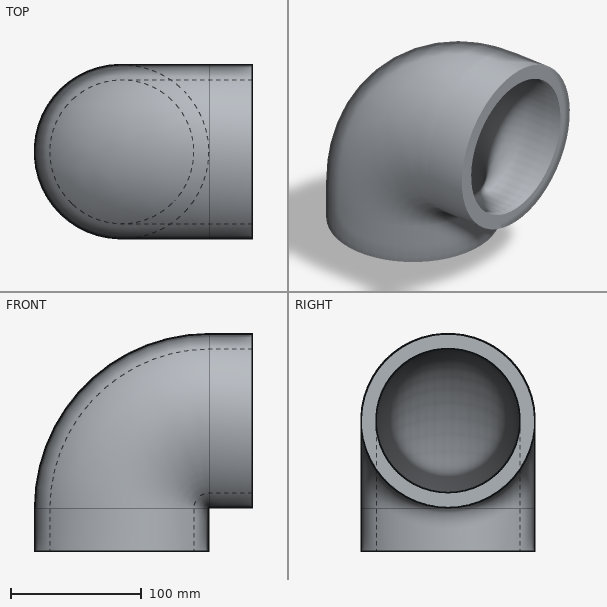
import cadquery as cq

overall_size = 166.5
outer_diameter = 133.0
bore_diameter = 110.0
collar_length = 33.0

bend_radius = overall_size - collar_length - outer_diameter / 2

centre_line = (
    cq.Workplane("XZ")
    .moveTo(0, -collar_length)
    .lineTo(0, 0)
    .radiusArc((bend_radius, bend_radius), bend_radius)
    .lineTo(bend_radius + collar_length, bend_radius)
)

result = (
    cq.Workplane("XY", origin=(0, 0, -collar_length))
    .circle(outer_diameter / 2)
    .circle(bore_diameter / 2)
    .sweep(centre_line)
)